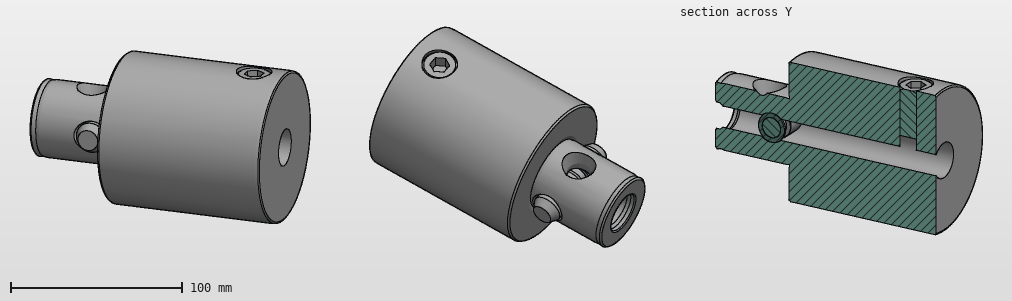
import cadquery as cq
import math

length = 150.0
body_radius = 45.0
shank_radius = 23.0
shank_length = 49.8
bore_radius = 11.0

nose_radius = 21.9
nose_chamfer_end = 1.0
ring_groove_middle = 3.8
ring_groove_end = 6.2
ring_groove_depth = 0.5

relief_start = 48.2
relief_depth = 0.5
relief_face_radius = 24.8
relief_face_depth = 0.6

shoulder_chamfer_height = 0.9
shoulder_chamfer_length = 1.2
rear_band_length = 2.2
rear_band_height = 0.2
rear_chamfer_height = 1.2
rear_chamfer_length = 0.6

mouth_radius = 12.0
mouth_chamfer = 0.8
mouth_depth = 3.2
mouth_cone_length = 2.0

cone_hole_x = 31.6
cone_hole_radius = 7.2
cone_hole_mouth_radius = 10.0
cone_hole_flare_depth = 9.0

pin_x = 38.1
pin_radius = 9.0
pin_tip_radius = 6.2
pin_tip_y = 28.2
pin_shoulder_y = 23.1
pin_hole_mouth_radius = 10.5
pin_hole_flare_depth = 3.2
plug_end_y = -2.4
plug_groove_start_y = 0.3
plug_groove_depth = 0.3
neck_radius = 6.5
neck_socket_depth = 7.5
socket_end_y = -7.6

screw_x = 131.0
screw_radius = 10.4
screw_top_z = 43.5
screw_bottom_z = 13.5
screw_chamfer = 1.0
hex_across_flats = 10.0
hex_depth = 7.5


def revolved(profile, axis_direction):
    """Solid of revolution of an XY-plane outline about the X or Y axis."""
    return cq.Workplane("XY").polyline(profile).close().revolve(360, (0, 0, 0), axis_direction)


def housing_blank():
    """Shank and large cylinder with the relief groove between them."""
    profile = [
        (0, 0),
        (0, nose_radius),
        (nose_chamfer_end, shank_radius),
        (ring_groove_middle, shank_radius - ring_groove_depth),
        (ring_groove_end, shank_radius),
        (relief_start, shank_radius),
        (shank_length + relief_face_depth, shank_radius - relief_depth),
        (shank_length, relief_face_radius),
        (shank_length, body_radius - shoulder_chamfer_height),
        (shank_length + shoulder_chamfer_length, body_radius),
        (length - rear_band_length, body_radius),
        (length - rear_chamfer_length, body_radius - rear_band_height),
        (length, body_radius - rear_chamfer_height),
        (length, 0),
    ]
    return revolved(profile, (1, 0, 0))


def axial_bore():
    """Through bore with a wider mouth at the shank end."""
    profile = [
        (0, 0),
        (0, mouth_radius + mouth_chamfer),
        (mouth_chamfer, mouth_radius),
        (mouth_depth, mouth_radius),
        (mouth_depth + mouth_cone_length, bore_radius),
        (length, bore_radius),
        (length, 0),
    ]
    return revolved(profile, (1, 0, 0))


def cone_hole():
    """Hole from the shank top into the bore, flared outwards."""
    flare = cq.Solid.makeCone(
        cone_hole_radius,
        cone_hole_mouth_radius,
        cone_hole_flare_depth,
        cq.Vector(cone_hole_x, 0, shank_radius - cone_hole_flare_depth),
    )
    drill = cq.Workplane("XY").center(cone_hole_x, 0).circle(cone_hole_radius).extrude(shank_radius)
    return drill.union(cq.Workplane(flare))


def pin_hole():
    """Cross hole along Y, flared at both ends."""
    flare_start = shank_radius - pin_hole_flare_depth
    profile = [
        (0, -shank_radius),
        (pin_hole_mouth_radius, -shank_radius),
        (pin_radius, -flare_start),
        (pin_radius, flare_start),
        (pin_hole_mouth_radius, shank_radius),
        (0, shank_radius),
    ]
    return revolved(profile, (0, 1, 0)).translate((pin_x, 0, 0))


def screw_hole():
    """Radial hole from the top of the large cylinder into the bore."""
    return cq.Workplane("XY").center(screw_x, 0).circle(screw_radius).extrude(body_radius)


def make_housing():
    return housing_blank().cut(axial_bore()).cut(cone_hole()).cut(pin_hole()).cut(screw_hole())


def make_plug_pin():
    """Pin half on the +Y side, with a snap groove and a neck."""
    groove_middle_y = (plug_groove_start_y + plug_end_y) / 2
    profile = [
        (0, pin_tip_y),
        (pin_tip_radius, pin_tip_y),
        (pin_radius, pin_shoulder_y),
        (pin_radius, plug_groove_start_y),
        (pin_radius - plug_groove_depth, groove_middle_y),
        (pin_radius, plug_end_y),
        (neck_radius, plug_end_y),
        (neck_radius, socket_end_y - neck_socket_depth),
        (0, socket_end_y - neck_socket_depth),
    ]
    return revolved(profile, (0, 1, 0)).translate((pin_x, 0, 0))


def make_socket_pin():
    """Pin half on the -Y side, with a socket that receives the neck."""
    socket_floor_y = socket_end_y - neck_socket_depth
    profile = [
        (0, -pin_tip_y),
        (pin_tip_radius, -pin_tip_y),
        (pin_radius, -pin_shoulder_y),
        (pin_radius, socket_end_y),
        (neck_radius, socket_end_y),
        (neck_radius, socket_floor_y),
        (0, socket_floor_y),
    ]
    return revolved(profile, (0, 1, 0)).translate((pin_x, 0, 0))


def make_screw():
    """Headless screw with a hexagon socket whose corners point along Y."""
    blank = (
        cq.Workplane("XY", origin=(screw_x, 0, screw_bottom_z))
        .circle(screw_radius)
        .extrude(screw_top_z - screw_bottom_z)
        .faces(">Z")
        .chamfer(screw_chamfer)
    )
    hexagon = (
        cq.Workplane("XY", origin=(screw_x, 0, screw_top_z - hex_depth))
        .transformed(rotate=(0, 0, 90))
        .polygon(6, hex_across_flats / math.cos(math.pi / 6))
        .extrude(hex_depth)
    )
    return blank.cut(hexagon)


housing = make_housing()
plug_pin = make_plug_pin()
socket_pin = make_socket_pin()
screw = make_screw()

result = cq.Compound.makeCompound([housing.val(), plug_pin.val(), socket_pin.val(), screw.val()])